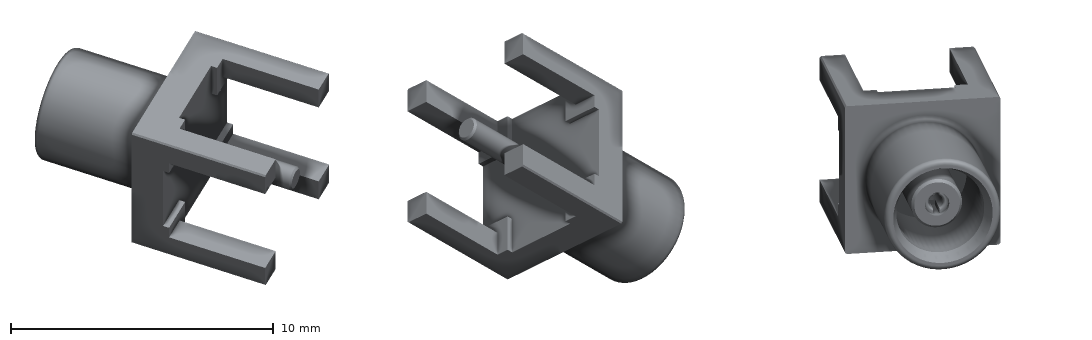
import cadquery as cq

total_length = 10.0
body_width = 6.0

body_front = 4.44
body_back = 5.75
corner_chamfer = 0.06
leg_thickness = 0.98
leg_root = 6.0
step_opening = 3.0
leg_opening = body_width - 2 * leg_thickness

barrel_radius = 2.24
edge_radius = 0.2
bore_radius = 1.7
mouth_radius = 1.92
mouth_depth = 0.59
bore_depth = body_front

insulator_radius = 0.98
insulator_front = 1.28
insulator_chamfer = 0.1

pin_radius = 0.47
pin_front = 1.48
pin_back = 9.94
pin_tail_chamfer = 0.08
contact_hole_radius = 0.28
contact_lip_radius = 0.09
contact_hole_depth = 1.4
contact_cone_depth = contact_hole_radius
contact_slot_width = 0.25
contact_slot_depth = 1.0


def cylinder(radius, start, end):
    """Cylinder along X between two positions."""
    return cq.Workplane("YZ", origin=(start, 0, 0)).circle(radius).extrude(end - start)


def box(start, end, size_y, size_z):
    """Box along X between two positions, centred on the axis."""
    return cq.Workplane("YZ", origin=(start, 0, 0)).rect(size_y, size_z).extrude(end - start)


def make_body():
    body = box(body_front, total_length, body_width, body_width)
    body = body.edges("|X").chamfer(corner_chamfer)
    for start, opening in ((body_back, step_opening), (leg_root, leg_opening)):
        body = body.cut(box(start, total_length, opening, body_width))
        body = body.cut(box(start, total_length, body_width, opening))
    return body


def make_barrel():
    """Rounded mouth edge and a concave fillet where the barrel meets the body."""
    flare_start = body_front - edge_radius
    profile = (
        cq.Workplane("XY")
        .lineTo(0, barrel_radius - edge_radius)
        .radiusArc((edge_radius, barrel_radius), edge_radius)
        .lineTo(flare_start, barrel_radius)
        .radiusArc((body_front, barrel_radius + edge_radius), -edge_radius)
        .lineTo(body_front, 0)
        .close()
    )
    return profile.revolve(360, (0, 0, 0), (1, 0, 0))


def make_bore():
    """Straight bore with a conical lead-in at the mouth."""
    profile = cq.Workplane("XY").polyline([
        (0, 0),
        (0, mouth_radius),
        (mouth_depth, bore_radius),
        (bore_depth, bore_radius),
        (bore_depth, 0),
    ]).close()
    return profile.revolve(360, (0, 0, 0), (1, 0, 0))


def make_insulator():
    insulator = cylinder(insulator_radius, insulator_front, bore_depth)
    return insulator.faces("<X").chamfer(insulator_chamfer)


def make_pin():
    pin = cylinder(pin_radius, pin_front, pin_back)
    return pin.faces(">X").chamfer(pin_tail_chamfer)


def make_contact_hole():
    """Blind hole in the pin tip with a rounded entry and a conical bottom."""
    hole_end = pin_front + contact_hole_depth
    profile = (
        cq.Workplane("XY")
        .moveTo(pin_front, 0)
        .lineTo(pin_front, contact_hole_radius + contact_lip_radius)
        .radiusArc((pin_front + contact_lip_radius, contact_hole_radius), -contact_lip_radius)
        .lineTo(hole_end, contact_hole_radius)
        .lineTo(hole_end + contact_cone_depth, 0)
        .close()
    )
    return profile.revolve(360, (0, 0, 0), (1, 0, 0))


def make_contact_slot():
    """Slot that splits the pin tip at top and bottom."""
    return box(pin_front, pin_front + contact_slot_depth, contact_slot_width, 2 * pin_radius)


pin_recess = cylinder(pin_radius, insulator_front, pin_front)
result = make_body().union(make_barrel()).cut(make_bore())
result = result.union(make_insulator()).cut(pin_recess).union(make_pin())
result = result.cut(make_contact_hole()).cut(make_contact_slot())